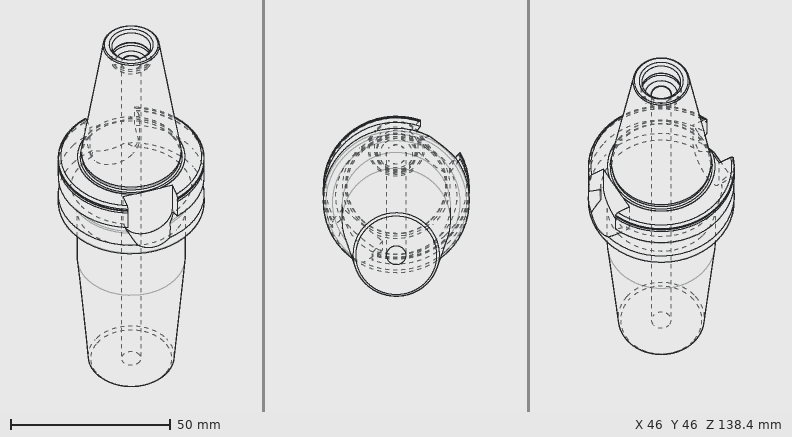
import cadquery as cq
import math

total_height = 138.4

nose_tip_radius = 13.5
nose_tip_chamfer_width = 0.8
nose_tip_chamfer_height = 1.0
nose_radius = 17.0
nose_cone_top = 44.5
nose_fillet = 3.0

flange_radius = 23.0
flange_bottom = 68.2
flange_bottom_round = 0.8
groove_radius = 19.1
lower_lip_top = 72.5
groove_bottom = 74.5
groove_top = 78.0
groove_fillet = 0.5
upper_lip_bottom = 80.3
flange_top = 89.1
flange_top_chamfer_width = 0.8
flange_top_chamfer_height = 0.8

mark_top = 87.7
mark_bottom = 86.6
mark_depth = 0.3

neck_radius = 15.5
neck_chamfer = 0.5
relief_radius = 16.9
relief_depth = 0.1
neck_top = 90.2

taper_bottom = 91.0
taper_rate = 7 / 24
taper_top_radius = 8.9
taper_bottom_radius = taper_top_radius + (total_height - taper_bottom) * taper_rate / 2
taper_top_chamfer = 0.4

mouth_radius = 6.9
socket_radius = 6.1
mouth_chamfer = mouth_radius - socket_radius
socket_depth = 5.0
undercut_radius = 6.4
undercut_top_depth = 5.5
undercut_bottom_depth = 6.6
floor_radius = 5.1
floor_depth = undercut_bottom_depth + undercut_radius - floor_radius
through_radius = 3.0
through_chamfer = 0.1

slot_half_width = 8.2
slot_floor = 16.3
slot_bottom = 70.6
slot_round_center = slot_bottom + slot_half_width


def turned_body():
    """Outer shape, revolved from a half profile of radius against height."""
    fillet_outer = nose_radius + nose_fillet
    fillet_bottom = flange_bottom - nose_fillet
    fillet_mid = (
        fillet_outer - nose_fillet * math.cos(math.pi / 4),
        fillet_bottom + nose_fillet * math.sin(math.pi / 4),
    )
    relief_floor = flange_top - relief_depth
    return (
        cq.Workplane("XZ")
        .lineTo(nose_tip_radius - nose_tip_chamfer_width, 0)
        .lineTo(nose_tip_radius, nose_tip_chamfer_height)
        .lineTo(nose_radius, nose_cone_top)
        .lineTo(nose_radius, fillet_bottom)
        .threePointArc(fillet_mid, (fillet_outer, flange_bottom))
        .lineTo(flange_radius - flange_bottom_round, flange_bottom)
        .radiusArc((flange_radius, flange_bottom + flange_bottom_round), -flange_bottom_round)
        .lineTo(flange_radius, lower_lip_top)
        .lineTo(groove_radius, groove_bottom)
        .lineTo(groove_radius, groove_top)
        .lineTo(flange_radius, upper_lip_bottom)
        .lineTo(flange_radius, mark_bottom)
        .lineTo(flange_radius - mark_depth, (mark_bottom + mark_top) / 2)
        .lineTo(flange_radius, mark_top)
        .lineTo(flange_radius, flange_top - flange_top_chamfer_height)
        .lineTo(flange_radius - flange_top_chamfer_width, flange_top)
        .lineTo(relief_radius, flange_top)
        .lineTo(relief_radius, relief_floor)
        .lineTo(neck_radius + neck_chamfer, relief_floor)
        .lineTo(neck_radius, relief_floor + neck_chamfer)
        .lineTo(neck_radius, neck_top)
        .lineTo(taper_bottom_radius, taper_bottom)
        .lineTo(taper_top_radius, total_height - taper_top_chamfer)
        .lineTo(taper_top_radius - taper_top_chamfer, total_height)
        .lineTo(0, total_height)
        .close()
        .revolve(360, (0, 0), (0, 1))
    )


def stepped_bore():
    """Through hole that widens to a socket with an undercut at the top end."""
    floor_level = total_height - floor_depth
    return (
        cq.Workplane("XZ")
        .lineTo(through_radius, 0)
        .lineTo(through_radius, floor_level - through_chamfer)
        .lineTo(through_radius + through_chamfer, floor_level)
        .lineTo(floor_radius, floor_level)
        .lineTo(undercut_radius, total_height - undercut_bottom_depth)
        .lineTo(undercut_radius, total_height - undercut_top_depth)
        .lineTo(socket_radius, total_height - socket_depth)
        .lineTo(socket_radius, total_height - mouth_chamfer)
        .lineTo(mouth_radius, total_height)
        .lineTo(0, total_height)
        .close()
        .revolve(360, (0, 0), (0, 1))
    )


def drive_slot(side):
    """Slot cutter on the +X (side = 1) or -X (side = -1) side of the flange."""
    return (
        cq.Workplane("YZ", origin=(side * slot_floor, 0, 0))
        .moveTo(-slot_half_width, taper_bottom)
        .lineTo(-slot_half_width, slot_round_center)
        .threePointArc((0, slot_bottom), (slot_half_width, slot_round_center))
        .lineTo(slot_half_width, taper_bottom)
        .close()
        .extrude(side * flange_radius)
    )


def round_groove_corners(body):
    """Fillet both corners at the root of the gripper groove."""
    margin = groove_fillet
    groove_corners = cq.selectors.BoxSelector(
        (-flange_radius, -flange_radius, groove_bottom - margin),
        (flange_radius, flange_radius, groove_top + margin),
    )
    return body.edges(groove_corners).edges("%CIRCLE").fillet(groove_fillet)


result = round_groove_corners(turned_body()).cut(stepped_bore())
for side in (-1, 1):
    result = result.cut(drive_slot(side))